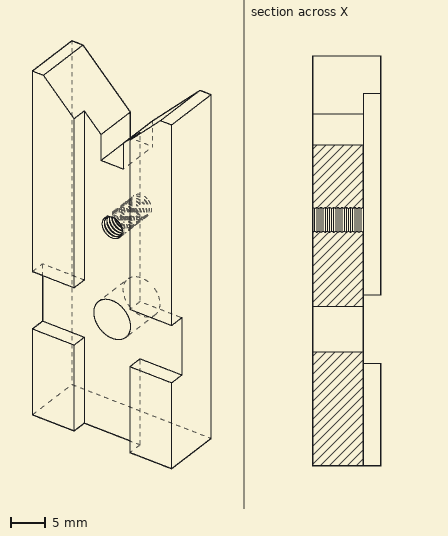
import cadquery as cq
import math

height = 60
thickness = height / 6
width = 2.5 * thickness

groove_width = thickness
groove_depth = 2.6
foot_height = 1.5 * groove_width

land_width = height / 30
relief_width = 2 * land_width
notch_depth = 13.0
v_angle = 45

bolt_diameter = 6.6
bolt_height = foot_height + groove_width / 2
thread_height = 36
thread_crest = 3.25
thread_root = 3.6
thread_turns = 12
thread_pitch = (thickness - groove_depth) / thread_turns


def make_block():
    return cq.Workplane("XY").box(width, thickness, height, centered=(True, False, False))


def make_crossed_grooves():
    upright = cq.Workplane("XY").box(groove_width, groove_depth, height, centered=(True, False, False))
    cross = (
        cq.Workplane("XY")
        .box(width, groove_depth, groove_width, centered=(True, False, False))
        .translate((0, 0, foot_height))
    )
    return upright.union(cross)


def make_notch():
    half_mouth = width / 2 - land_width
    half_relief = relief_width / 2
    v_depth = (half_mouth - half_relief) / math.tan(math.radians(v_angle))
    return (
        cq.Workplane("XZ")
        .moveTo(-half_mouth, height)
        .lineTo(-half_relief, height - v_depth)
        .lineTo(-half_relief, height - notch_depth)
        .lineTo(half_relief, height - notch_depth)
        .lineTo(half_relief, height - v_depth)
        .lineTo(half_mouth, height)
        .close()
        .extrude(-thickness)
    )


def make_bolt_hole():
    return cq.Workplane("XZ").center(0, bolt_height).circle(bolt_diameter / 2).extrude(-thickness)


def make_threaded_hole():
    """Bore ringed by V ridges standing for the thread, from the groove floor to the back face."""
    crest_radius = thread_crest / 2
    root_radius = thread_root / 2
    profile = cq.Workplane("XY").moveTo(0, groove_depth).lineTo(root_radius, groove_depth)
    for turn in range(thread_turns):
        ridge_start = groove_depth + turn * thread_pitch
        profile = profile.lineTo(crest_radius, ridge_start + thread_pitch / 2)
        profile = profile.lineTo(root_radius, ridge_start + thread_pitch)
    profile = profile.lineTo(0, thickness).close()
    return profile.revolve(360, (0, 0, 0), (0, 1, 0)).translate((0, 0, thread_height))


result = (
    make_block()
    .cut(make_crossed_grooves())
    .cut(make_notch())
    .cut(make_bolt_hole())
    .cut(make_threaded_hole())
)